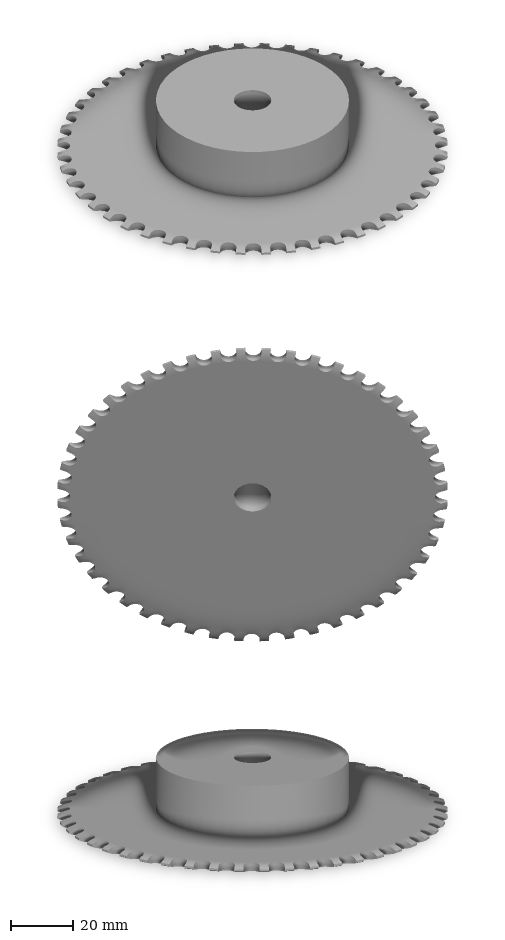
import cadquery as cq
import math

tooth_count = 48
tip_radius = 62.8
flat_radius = 58.8
disc_thickness = 2.8
tip_width = 0.8

gap_root_radius = 58.7
gap_width = 5.1

hub_diameter = 62.0
total_height = 20.0
bore_diameter = 12.0

side_run = tip_radius - flat_radius
side_drop = (disc_thickness - tip_width) / 2
side_arc_radius = (side_run**2 + side_drop**2) / (2 * side_drop)


def side_arc_midpoint():
    """Return (radius, drop below the disc face) halfway along a tooth side arc."""
    half_angle = math.asin(side_run / side_arc_radius) / 2
    radius = flat_radius + side_arc_radius * math.sin(half_angle)
    drop = side_arc_radius * (1 - math.cos(half_angle))
    return radius, drop


def make_disc():
    """Revolve the disc section, including the rounded rim, about Z."""
    mid_radius, mid_drop = side_arc_midpoint()
    return (
        cq.Workplane("YZ")
        .lineTo(flat_radius, 0)
        .threePointArc((mid_radius, mid_drop), (tip_radius, side_drop))
        .lineTo(tip_radius, disc_thickness - side_drop)
        .threePointArc((mid_radius, disc_thickness - mid_drop), (flat_radius, disc_thickness))
        .lineTo(0, disc_thickness)
        .close()
        .revolve(360, (0, 0, 0), (0, 1, 0))
    )


def make_gaps():
    """Slots open at the rim, placed half a tooth step away from the X axis."""
    tooth_step = 360 / tooth_count
    slot_length = tip_radius - gap_root_radius + gap_width
    slot_centre = gap_root_radius + slot_length / 2
    return (
        cq.Workplane("XY")
        .polarArray(slot_centre, tooth_step / 2, 360, tooth_count)
        .slot2D(slot_length, gap_width)
        .extrude(disc_thickness)
    )


hub = cq.Workplane("XY").circle(hub_diameter / 2).extrude(total_height)
bore = cq.Workplane("XY").circle(bore_diameter / 2).extrude(total_height)

result = make_disc().cut(make_gaps()).union(hub).cut(bore)